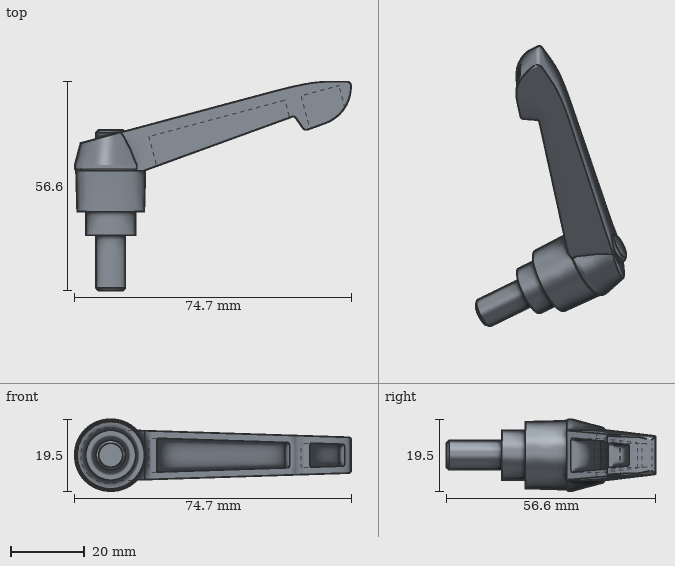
import cadquery as cq
import math


STUD_DIAMETER = 8.0
STUD_BOTTOM = -15.0
STUD_TOP = 28.5
STUD_CHAMFER = 0.75
BOSS_DIAMETER = 13.5
BOSS_TOP = 6.4

SKIRT_BOTTOM_RADIUS = 9.1
SKIRT_TOP_RADIUS = 9.4
RIM_RADIUS = 9.745
RIM_BOTTOM = 17.5
RIM_ROUND = 0.75
RIM_BAND_HEIGHT = 0.7
CONE_ANGLE = 15.0

TOP_ANGLE = 15.0
TOP_HEIGHT_AT_AXIS = 27.11
LEVER_TOP = 41.55
SHOULDER_RADIUS = 120.0
CROWN_RADIUS = 35.0
CROWN_ANGLE = 11.0
TIP_X = 65.0
TIP_RADIUS = 10.75
TIP_TOP_ROUND = 1.2
UNDERSIDE_ANGLE = 20.0
UNDERSIDE_START_X = 9.15
HOOK_INNER_X = 49.65
HOOK_WALL_ANGLE = 55.0
HOOK_INNER_ROUND = 0.8
HOOK_OUTER_ROUND = 1.1

HALF_WIDTH_AT_AXIS = 6.93
HALF_WIDTH_AT_TIP = 4.85
TIP_CORNER_ROUND = 0.8

POCKET_WALL = 2.0
POCKET_CORNER_ROUND = 0.8
POCKET_ROOF = 3.0
POCKET_SPANS = [(9.8, 47.9), (52.4, 63.0)]
POCKET_REACH = 14.0

TOP_SLOPE = math.tan(math.radians(TOP_ANGLE))
TOP_SIN = math.sin(math.radians(TOP_ANGLE))
TOP_COS = math.cos(math.radians(TOP_ANGLE))
UNDERSIDE_SIN = math.sin(math.radians(UNDERSIDE_ANGLE))
UNDERSIDE_COS = math.cos(math.radians(UNDERSIDE_ANGLE))
WIDTH_SLOPE = (HALF_WIDTH_AT_AXIS - HALF_WIDTH_AT_TIP) / TIP_X


def top_height(x):
    """Height of the sloping top plane at x."""
    return TOP_HEIGHT_AT_AXIS + x * TOP_SLOPE


def half_width(x):
    """Half the width of the lever at x."""
    return HALF_WIDTH_AT_AXIS - x * WIDTH_SLOPE


def extrude_across(outline):
    """Extrude an XY outline symmetrically in Z, past the full width of the part."""
    return outline.extrude(2 * RIM_RADIUS, both=True)


def add_arc(outline, center, radius, start_angle, end_angle):
    """Add an arc about center, given in degrees, to an outline that has reached the arc's start."""

    def point_at(angle):
        turn = math.radians(angle)
        return (center[0] + radius * math.cos(turn), center[1] + radius * math.sin(turn))

    return outline.threePointArc(point_at((start_angle + end_angle) / 2), point_at(end_angle))


def below_top_plane():
    """Block that fills everything under the sloping top plane around the hub."""
    reach = 2 * RIM_RADIUS
    return extrude_across(
        cq.Workplane("XY")
        .moveTo(-reach, STUD_BOTTOM)
        .lineTo(reach, STUD_BOTTOM)
        .lineTo(reach, top_height(reach))
        .lineTo(-reach, top_height(-reach))
        .close()
    )


def make_stud():
    """Chamfered stud that runs through the whole hub."""
    return (
        cq.Workplane("XZ", origin=(0, STUD_BOTTOM, 0))
        .circle(STUD_DIAMETER / 2)
        .extrude(STUD_BOTTOM - STUD_TOP)
        .faces("<Y or >Y")
        .chamfer(STUD_CHAMFER)
    )


def revolve_about_stud(outline):
    """Revolve an XY outline about the Y axis."""
    return outline.close().revolve(360, (0, 0), (0, 1))


def make_hub():
    """Boss, skirt, rim band and cone turned about Y, with the cone cut by the top plane."""
    boss_and_skirt = revolve_about_stud(
        cq.Workplane("XY")
        .lineTo(BOSS_DIAMETER / 2, 0)
        .lineTo(BOSS_DIAMETER / 2, BOSS_TOP)
        .lineTo(SKIRT_BOTTOM_RADIUS, BOSS_TOP)
        .lineTo(SKIRT_TOP_RADIUS, RIM_BOTTOM)
        .lineTo(0, RIM_BOTTOM)
    )

    band_bottom = RIM_BOTTOM + RIM_ROUND
    band_top = band_bottom + RIM_BAND_HEIGHT
    cone_top = STUD_TOP
    cone_top_radius = RIM_RADIUS - (cone_top - band_top) * math.tan(math.radians(CONE_ANGLE))
    round_center = (RIM_RADIUS - RIM_ROUND, band_bottom)
    rim = cq.Workplane("XY").moveTo(0, RIM_BOTTOM).lineTo(round_center[0], RIM_BOTTOM)
    rim = add_arc(rim, round_center, RIM_ROUND, -90, 0)
    rim_and_cone = revolve_about_stud(
        rim.lineTo(RIM_RADIUS, band_top)
        .lineTo(cone_top_radius, cone_top)
        .lineTo(0, cone_top)
    )
    return boss_and_skirt.union(rim_and_cone.intersect(below_top_plane()))


def make_lever_side():
    """Side outline of the lever, with its hook and rounded tip, extruded across Z."""
    tip_center = (TIP_X - TIP_RADIUS, LEVER_TOP - TIP_TOP_ROUND)
    belly_x = tip_center[0] + TIP_RADIUS * UNDERSIDE_SIN
    belly_y = tip_center[1] - TIP_RADIUS * UNDERSIDE_COS

    underside_slope = math.tan(math.radians(UNDERSIDE_ANGLE))
    wall_slope = math.tan(math.radians(HOOK_WALL_ANGLE))
    hook_inner_y = RIM_BOTTOM + (HOOK_INNER_X - UNDERSIDE_START_X) * underside_slope
    belly_y_below_hook = belly_y + (HOOK_INNER_X - belly_x) * underside_slope
    wall_run = (hook_inner_y - belly_y_below_hook) / (wall_slope + underside_slope)
    hook_outer_x = HOOK_INNER_X + wall_run
    hook_outer_y = hook_inner_y - wall_run * wall_slope

    crown_sin = math.sin(math.radians(CROWN_ANGLE))
    crown_cos = math.cos(math.radians(CROWN_ANGLE))
    crown_drop = CROWN_RADIUS * (1 - crown_cos)
    shoulder_drop = SHOULDER_RADIUS * (crown_cos - TOP_COS)
    slope_end_x = (LEVER_TOP - crown_drop - shoulder_drop - TOP_HEIGHT_AT_AXIS) / TOP_SLOPE
    shoulder_center = (
        slope_end_x + SHOULDER_RADIUS * TOP_SIN,
        top_height(slope_end_x) - SHOULDER_RADIUS * TOP_COS,
    )
    crown_center = (
        shoulder_center[0] - (SHOULDER_RADIUS - CROWN_RADIUS) * crown_sin,
        LEVER_TOP - CROWN_RADIUS,
    )

    outline = (
        cq.Workplane("XY")
        .moveTo(0, RIM_BOTTOM)
        .lineTo(UNDERSIDE_START_X, RIM_BOTTOM)
        .lineTo(HOOK_INNER_X, hook_inner_y)
        .lineTo(hook_outer_x, hook_outer_y)
        .lineTo(belly_x, belly_y)
    )
    outline = add_arc(outline, tip_center, TIP_RADIUS, UNDERSIDE_ANGLE - 90, 0)
    outline = add_arc(outline, (TIP_X - TIP_TOP_ROUND, tip_center[1]), TIP_TOP_ROUND, 0, 90)
    outline = outline.lineTo(crown_center[0], LEVER_TOP)
    outline = add_arc(outline, crown_center, CROWN_RADIUS, 90, 90 + CROWN_ANGLE)
    outline = add_arc(outline, shoulder_center, SHOULDER_RADIUS, 90 + CROWN_ANGLE, 90 + TOP_ANGLE)
    side = extrude_across(outline.lineTo(0, TOP_HEIGHT_AT_AXIS).close())

    hook_rounds = [
        (HOOK_INNER_X, hook_inner_y, HOOK_INNER_ROUND),
        (hook_outer_x, hook_outer_y, HOOK_OUTER_ROUND),
    ]
    for x, y, radius in hook_rounds:
        side = side.edges(cq.selectors.NearestToPointSelector((x, y, 0))).fillet(radius)
    return side


def make_lever():
    """Lever: the side outline narrowed in plan towards a tip with rounded corners."""
    plan = (
        cq.Workplane("XZ")
        .moveTo(0, -HALF_WIDTH_AT_AXIS)
        .lineTo(TIP_X, -HALF_WIDTH_AT_TIP)
        .lineTo(TIP_X, HALF_WIDTH_AT_TIP)
        .lineTo(0, HALF_WIDTH_AT_AXIS)
        .close()
        .extrude(-2 * LEVER_TOP)
        .edges("|Y and >X")
        .fillet(TIP_CORNER_ROUND)
    )
    return make_lever_side().intersect(plan)


def make_pocket(start, end):
    """Cutter for one pocket, drawn on the pocket floor and extruded out through the underside."""
    floor = cq.Plane(
        origin=(POCKET_ROOF * TOP_SIN, TOP_HEIGHT_AT_AXIS - POCKET_ROOF * TOP_COS, 0),
        xDir=(TOP_COS, TOP_SIN, 0),
        normal=(TOP_SIN, -TOP_COS, 0),
    )
    start_half_width = half_width(floor.origin.x + start * TOP_COS) - POCKET_WALL
    end_half_width = half_width(floor.origin.x + end * TOP_COS) - POCKET_WALL
    return (
        cq.Workplane(floor)
        .moveTo(start, -start_half_width)
        .lineTo(end, -end_half_width)
        .lineTo(end, end_half_width)
        .lineTo(start, start_half_width)
        .close()
        .extrude(POCKET_REACH)
        .edges(cq.selectors.ParallelDirSelector(floor.zDir))
        .fillet(POCKET_CORNER_ROUND)
    )


lever = make_lever()
for pocket_start, pocket_end in POCKET_SPANS:
    lever = lever.cut(make_pocket(pocket_start, pocket_end))

result = make_hub().union(lever).union(make_stud())